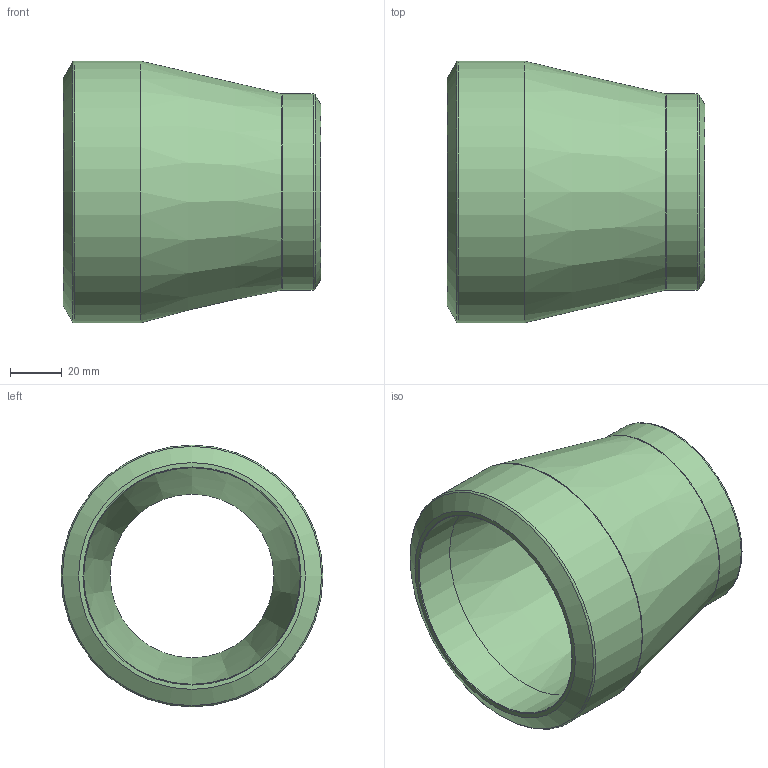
import cadquery as cq
import math

length = 100.0
large_outer_radius = 101.6 / 2
large_bore_radius = 84.0 / 2
small_outer_radius = 76.1 / 2
small_bore_radius = 63.5 / 2
large_collar_length = 30.0
small_collar_length = 15.0
large_bore_length = 17.0
small_bore_length = 18.0
root_face = 2.0
bevel_angle = 30.0
outer_edge_radius = 1.0
bore_edge_radius = 0.3

large_bevel_radius = large_bore_radius + root_face
small_bevel_radius = small_bore_radius + root_face
bevel_slope = math.tan(math.radians(bevel_angle))
large_bevel_length = (large_outer_radius - large_bevel_radius) * bevel_slope
small_bevel_length = (small_outer_radius - small_bevel_radius) * bevel_slope
cone_end = length - small_collar_length
small_bevel_start = length - small_bevel_length


def make_wall_section():
    """Half section of the wall with sharp corners; sketch X runs along the axis, Y is the radius."""
    outside = [
        (0, large_bevel_radius),
        (large_bevel_length, large_outer_radius),
        (large_collar_length, large_outer_radius),
        (cone_end, small_outer_radius),
        (small_bevel_start, small_outer_radius),
        (length, small_bevel_radius),
    ]
    bore = [
        (length, small_bore_radius),
        (length - small_bore_length, small_bore_radius),
        (large_bore_length, large_bore_radius),
        (0, large_bore_radius),
    ]
    corners = outside + bore
    return cq.Sketch().polygon(corners + corners[:1])


def round_corner(section, position, corner_radius, rounding):
    """Round the section corner at the given axial position and distance from the axis."""
    corner = cq.selectors.NearestToPointSelector((position, corner_radius, 0))
    return section.vertices(corner).fillet(rounding).reset()


section = make_wall_section()

section = round_corner(section, large_bevel_length, large_outer_radius, outer_edge_radius)
section = round_corner(section, large_collar_length, large_outer_radius, outer_edge_radius)
section = round_corner(section, cone_end, small_outer_radius, outer_edge_radius)
section = round_corner(section, small_bevel_start, small_outer_radius, outer_edge_radius)

section = round_corner(section, 0, large_bore_radius, bore_edge_radius)
section = round_corner(section, length, small_bore_radius, bore_edge_radius)

result = cq.Workplane("XZ").placeSketch(section).revolve(360, (0, 0, 0), (1, 0, 0))